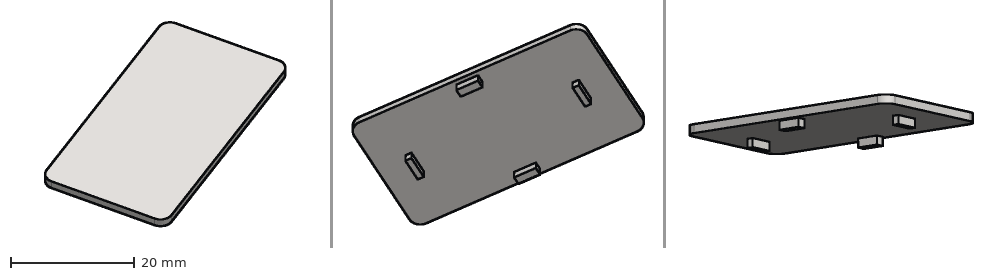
import cadquery as cq

plate_width = 23.0
plate_length = 43.0
total_height = 3.0
plate_thickness = 1.5
corner_radius = 2.0

tab_height = total_height - plate_thickness
side_tab_width = 1.5
side_tab_length = 4.0
side_tab_inset = 0.8
end_tab_width = 4.25
end_tab_length = 1.1
end_tab_inset = 5.5

side_tab_x = plate_width / 2 - side_tab_inset - side_tab_width / 2
end_tab_y = plate_length / 2 - end_tab_inset - end_tab_length / 2


def tab_pair(width, length, centers):
    """Two rectangular tabs hanging from the underside of the plate, at Z = 0."""
    return cq.Workplane("XY").pushPoints(centers).rect(width, length).extrude(-tab_height)


plate = (
    cq.Workplane("XY")
    .rect(plate_width, plate_length)
    .extrude(plate_thickness)
    .edges("|Z")
    .fillet(corner_radius)
)
side_tabs = tab_pair(side_tab_width, side_tab_length, [(-side_tab_x, 0), (side_tab_x, 0)])
end_tabs = tab_pair(end_tab_width, end_tab_length, [(0, -end_tab_y), (0, end_tab_y)])

result = plate.union(side_tabs).union(end_tabs)